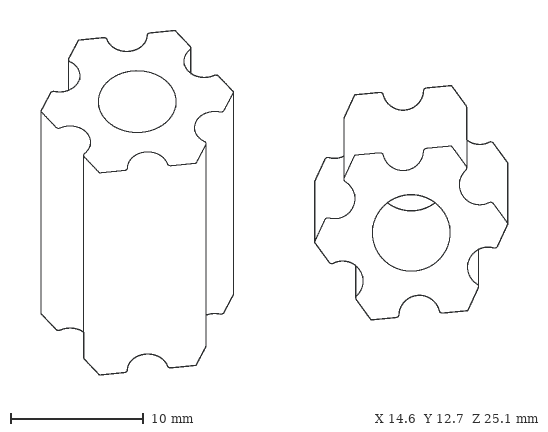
import cadquery as cq
import math

length = 25.15
across_flats = 12.7
bore_diameter = 5.85
groove_radius = 1.53
groove_lip_radius = 0.25
corner_radius = 0.1
side_count = 6

flat_distance = across_flats / 2
across_corners = across_flats / math.cos(math.pi / side_count)


def hexagonal_bar():
    """Upright bar with flats facing +Y and -Y and slightly rounded corners."""
    bar = cq.Workplane("XY").polygon(side_count, across_corners).extrude(length)
    return bar.edges("|Z").fillet(corner_radius)


def flat_groove():
    """Cutter for a round groove centred on the +Y flat, with rounded lips."""
    lip_center_x = math.sqrt((groove_radius + groove_lip_radius) ** 2 - groove_lip_radius**2)
    lip_center_y = flat_distance - groove_lip_radius
    touch_ratio = groove_radius / (groove_radius + groove_lip_radius)
    touch_x = lip_center_x * touch_ratio
    touch_y = flat_distance - groove_lip_radius * touch_ratio

    groove_direction = math.pi - math.atan2(groove_lip_radius, lip_center_x)
    middle_angle = (groove_direction + math.pi / 2) / 2
    middle_x = lip_center_x + groove_lip_radius * math.cos(middle_angle)
    middle_y = lip_center_y + groove_lip_radius * math.sin(middle_angle)

    return (
        cq.Workplane("XY")
        .moveTo(-lip_center_x, flat_distance)
        .threePointArc((-middle_x, middle_y), (-touch_x, touch_y))
        .threePointArc((0, flat_distance - groove_radius), (touch_x, touch_y))
        .threePointArc((middle_x, middle_y), (lip_center_x, flat_distance))
        .close()
        .extrude(length)
    )


result = hexagonal_bar()

groove = flat_groove()
for side in range(side_count):
    angle = side * 360 / side_count
    result = result.cut(groove.rotate((0, 0, 0), (0, 0, 1), angle))

result = result.faces(">Z").workplane(origin=(0, 0, length)).hole(bore_diameter)